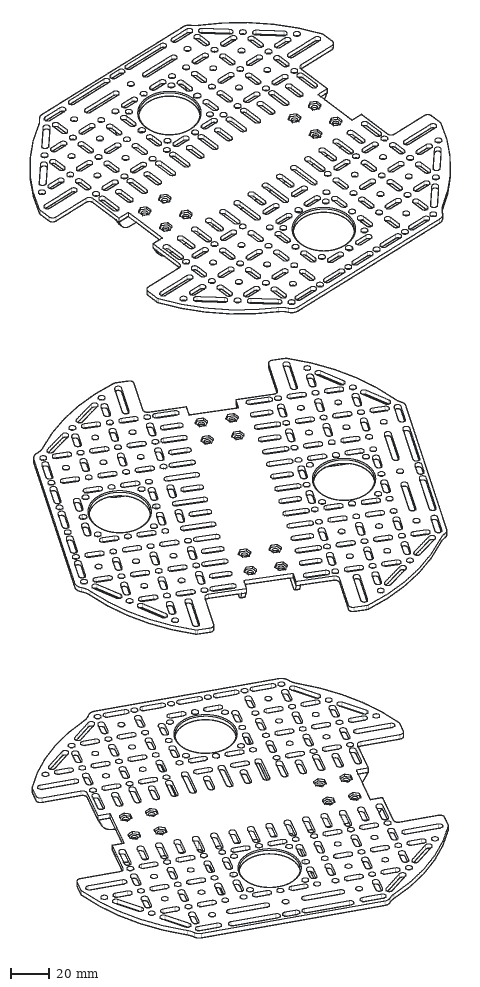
import cadquery as cq
import math

PLATE_THICKNESS = 3.0
RIB_HEIGHT = 8.0
PITCH = 10.0
COLUMN_OFFSET = PITCH / 2
LEFT_REACH = 99.0
RIGHT_REACH = 100.0

HALF_LENGTH = 100.0
RIM_RADIUS = 110.0
EAR_X = 9.5 * PITCH
EAR_Y = 5 * PITCH
EAR_BLEND_RADIUS = 10.0
WING_INNER_X = 36.0
SHELF_Y = 73.5
NOTCH_X = 13.2
NOTCH_Y = 67.0
WING_FILLET = PITCH / 4

HOLE_DIAMETER = 3.5
SLOT_WIDTH = 3.5
GRID_SLOT = 10.2
DIAGONAL_SLOT = 18.0
DIAGONAL_ANGLE = 45
WING_SLOT = 22.2
WING_SLOT_Y = 86.0
INNER_SLOT_START = 18.0
INNER_SLOT_SHORT_END = 30.0
INNER_SLOT_LONG_END = 32.0

SIDE_COLUMN = EAR_X
RIGHT_SIDE_SLOT = 13.8
LEFT_SIDE_X = -95.5
LEFT_CORNER_SLOT = 14.0
LEFT_CORNER_SLOT_X = -94.5
LEFT_CORNER_SLOT_Y = 44.8
LEFT_LONG_SLOT = 28.0
LEFT_CENTRE_SLOT = 9.2
LEFT_INNER_SLOT = 23.2
LEFT_INNER_SLOT_Y = 20.5

OPENING_DIAMETER = 32.0
OPENING_CHAMFER = 0.5
LEFT_OPENING_X = -5.5 * PITCH
RIGHT_OPENING_X = 6.5 * PITCH
OPENING_SCREW_OFFSET = 1.5 * PITCH
OVAL_LENGTH = 4.0
OVAL_OFFSET = 19.5

SCREW_X = 8.2
SCREW_ROWS = (45.8, 60.0)
SCREW_DIAMETER = 3.5
NUT_ACROSS_CORNERS = 6.8
NUT_DEPTH = PLATE_THICKNESS / 2

RIB_WIDTH = 2.5
LONG_RIB_X = 14.5
LONG_RIB_HALF = SHELF_Y
CROSS_RIB_Y = 24.8
CROSS_RIB_HALF = 70.0
RIB_END_INSET = 4.0
RIB_END_RADIUS = 7.0
RIB_CROSSING_FILLET = 1.2

HOLE_ROWS = (3 * PITCH, 5 * PITCH, 7 * PITCH)
SLOT_ROWS = (4 * PITCH, 6 * PITCH)
OPENING_ROWS = (0, 2 * PITCH)
WING_HOLE_Y = 9 * PITCH
WING_SHORT_SLOT_Y = 8 * PITCH

BOTH = (-1, 1)

COLUMN_3, COLUMN_4, COLUMN_5, COLUMN_6, COLUMN_7, COLUMN_8 = (
    number * PITCH + COLUMN_OFFSET for number in range(3, 9)
)


def grid(columns, rows):
    """Every crossing of the given columns and rows."""
    return [(x, y) for x in columns for y in rows]


def mirrored(points):
    """The points and their reflections on the other side of the X axis."""
    reflections = [(x, -y) for x, y in points if y]
    return points + reflections


def holes(points, diameter=HOLE_DIAMETER):
    centres = cq.Workplane("XY").pushPoints(mirrored(points))
    return centres.circle(diameter / 2).extrude(PLATE_THICKNESS)


def slots(points, length, angle):
    centres = cq.Workplane("XY").pushPoints(mirrored(points))
    return centres.slot2D(length, SLOT_WIDTH, angle).extrude(PLATE_THICKNESS)


def slots_along_x(points, length):
    return slots(points, length, 0)


def slots_along_y(points, length):
    return slots(points, length, 90)


def on_circle(centre, radius, angle):
    return centre[0] + radius * math.cos(angle), centre[1] + radius * math.sin(angle)


def quadrant(x_sign, side_x, y_sign):
    """One quarter of the plate, from its centre out to the straight side."""
    rim_centre = (0, 0)
    ear_centre = (EAR_X, EAR_Y)
    ear_radius = side_x - EAR_X

    ear_distance = math.hypot(*ear_centre)
    to_rim = RIM_RADIUS + EAR_BLEND_RADIUS
    to_ear = ear_radius + EAR_BLEND_RADIUS
    spread = math.acos((ear_distance**2 + to_rim**2 - to_ear**2) / (2 * ear_distance * to_rim))
    rim_end_angle = math.atan2(ear_centre[1], ear_centre[0]) + spread
    blend_centre = on_circle(rim_centre, to_rim, rim_end_angle)
    ear_angle = math.atan2(blend_centre[1] - ear_centre[1], blend_centre[0] - ear_centre[0])
    blend_middle_angle = (rim_end_angle + ear_angle) / 2 + math.pi
    rim_start_angle = math.asin(HALF_LENGTH / RIM_RADIUS)

    def at(x, y):
        return x_sign * x, y_sign * y

    def on_arc(centre, radius, angle):
        return at(*on_circle(centre, radius, angle))

    outline = (
        cq.Workplane("XY")
        .lineTo(*at(0, NOTCH_Y))
        .lineTo(*at(NOTCH_X, NOTCH_Y))
        .lineTo(*at(NOTCH_X, SHELF_Y))
        .lineTo(*at(WING_INNER_X, SHELF_Y))
        .lineTo(*at(WING_INNER_X, HALF_LENGTH))
        .lineTo(*on_arc(rim_centre, RIM_RADIUS, rim_start_angle))
        .threePointArc(
            on_arc(rim_centre, RIM_RADIUS, (rim_start_angle + rim_end_angle) / 2),
            on_arc(rim_centre, RIM_RADIUS, rim_end_angle),
        )
        .threePointArc(
            on_arc(blend_centre, EAR_BLEND_RADIUS, blend_middle_angle),
            on_arc(ear_centre, ear_radius, ear_angle),
        )
        .threePointArc(on_arc(ear_centre, ear_radius, ear_angle / 2), at(side_x, EAR_Y))
        .lineTo(*at(side_x, 0))
        .close()
        .extrude(PLATE_THICKNESS)
    )
    wing_corners = (
        (WING_INNER_X, SHELF_Y),
        (WING_INNER_X, HALF_LENGTH),
        on_circle(rim_centre, RIM_RADIUS, rim_start_angle),
    )
    for corner in wing_corners:
        nearest = cq.selectors.NearestToPointSelector((*at(*corner), PLATE_THICKNESS / 2))
        outline = outline.edges("|Z").edges(nearest).fillet(WING_FILLET)
    return outline


def make_plate():
    plate = quadrant(1, RIGHT_REACH, 1)
    plate = plate.union(quadrant(1, RIGHT_REACH, -1))
    plate = plate.union(quadrant(-1, LEFT_REACH, 1))
    return plate.union(quadrant(-1, LEFT_REACH, -1))


def shared_grid(side):
    """Holes and slots found in both halves; side is -1 for left, 1 for right."""
    outer, middle, inner = side * COLUMN_7, side * COLUMN_5, side * COLUMN_3
    between = (side * COLUMN_4, side * COLUMN_6)
    edge = side * COLUMN_8
    return [
        holes(grid((inner, middle, outer), HOLE_ROWS)),
        holes(grid(between, SLOT_ROWS) + [(edge, SLOT_ROWS[0]), (middle, WING_HOLE_Y)]),
        slots_along_x(grid(between, HOLE_ROWS) + [(edge, HOLE_ROWS[1])], GRID_SLOT),
        slots_along_y(grid((inner, middle, outer), SLOT_ROWS) + [(middle, WING_SHORT_SLOT_Y)], GRID_SLOT),
        slots_along_y([(side * COLUMN_4, WING_SLOT_Y)], WING_SLOT),
    ]


def diagonal_slots(side):
    """Slanted slots that follow the rim."""
    centres = ((COLUMN_6, 8 * PITCH), (COLUMN_8, 6 * PITCH))
    return [
        cq.Workplane("XY")
        .pushPoints([(side * x, end * y) for x, y in centres])
        .slot2D(DIAGONAL_SLOT, SLOT_WIDTH, -DIAGONAL_ANGLE * side * end)
        .extrude(PLATE_THICKNESS)
        for end in BOTH
    ]


def inner_slots(side, rows, outer_end):
    """Slots lying along X beside the plain centre band."""
    centre = side * (INNER_SLOT_START + outer_end) / 2
    return slots_along_x([(centre, y) for y in rows], outer_end - INNER_SLOT_START)


def opening(x):
    """Large round opening, chamfered on top, with four screw holes."""
    offset = OPENING_SCREW_OFFSET
    bore_radius = OPENING_DIAMETER / 2
    bore = (
        cq.Workplane("XZ", origin=(x, 0, 0))
        .lineTo(bore_radius, 0)
        .lineTo(bore_radius, PLATE_THICKNESS - OPENING_CHAMFER)
        .lineTo(bore_radius + OPENING_CHAMFER, PLATE_THICKNESS)
        .lineTo(0, PLATE_THICKNESS)
        .close()
        .revolve(360, (0, 0), (0, 1))
    )
    return [
        bore,
        holes([(x - offset, offset), (x + offset, offset)]),
    ]


def left_features():
    x = LEFT_OPENING_X
    return [
        inner_slots(-1, HOLE_ROWS + OPENING_ROWS, INNER_SLOT_LONG_END),
        inner_slots(-1, SLOT_ROWS + (PITCH,), INNER_SLOT_SHORT_END),
        holes(grid((-COLUMN_3, -COLUMN_7), OPENING_ROWS) + [(-COLUMN_8, 0)]),
        slots_along_y([(x, OVAL_OFFSET)], OVAL_LENGTH),
        slots_along_x(grid((-COLUMN_4, -COLUMN_6), (2 * PITCH,)), GRID_SLOT),
        slots_along_y(grid((-COLUMN_3, -COLUMN_7), (PITCH,)), GRID_SLOT),
        slots_along_y([(-COLUMN_8, LEFT_INNER_SLOT_Y)], LEFT_INNER_SLOT),
        slots_along_y([(LEFT_CORNER_SLOT_X, LEFT_CORNER_SLOT_Y)], LEFT_CORNER_SLOT),
        slots_along_y([(LEFT_SIDE_X, 2 * PITCH)], LEFT_LONG_SLOT),
        slots_along_y([(LEFT_SIDE_X, 0)], LEFT_CENTRE_SLOT),
    ]


def right_features():
    x = RIGHT_OPENING_X
    return [
        inner_slots(1, HOLE_ROWS, INNER_SLOT_LONG_END),
        inner_slots(1, SLOT_ROWS + (PITCH,), INNER_SLOT_SHORT_END),
        inner_slots(1, OPENING_ROWS, COLUMN_3 + SLOT_WIDTH / 2),
        holes(grid((COLUMN_4, COLUMN_6), (2 * PITCH,))),
        slots_along_x([(x - OVAL_OFFSET, 0), (x + OVAL_OFFSET, 0)], OVAL_LENGTH),
        slots_along_x(grid((x - PITCH, x + PITCH), (2 * PITCH,)), GRID_SLOT),
        slots_along_x([(COLUMN_8, HOLE_ROWS[0])], GRID_SLOT),
        slots_along_y(grid((COLUMN_3, COLUMN_4, COLUMN_8), (PITCH,)), GRID_SLOT),
        holes(grid((SIDE_COLUMN,), (PITCH, 3 * PITCH, 5 * PITCH))),
        slots_along_y(grid((SIDE_COLUMN,), (0, 2 * PITCH, 4 * PITCH)), RIGHT_SIDE_SLOT),
    ]


def screw_holes():
    """Screw holes with hexagonal nut pockets sunk into the top face."""
    places = grid((-SCREW_X, SCREW_X), SCREW_ROWS)
    pockets = (
        cq.Workplane("XY", origin=(0, 0, PLATE_THICKNESS - NUT_DEPTH))
        .pushPoints(mirrored(places))
        .polygon(6, NUT_ACROSS_CORNERS)
        .extrude(NUT_DEPTH)
    )
    return [holes(places, SCREW_DIAMETER), pockets]


def rib(plane, half_length):
    """Rib hanging under the plate, centred, with sloped and rounded ends."""
    return (
        cq.Workplane(plane)
        .moveTo(-half_length, 0)
        .lineTo(half_length, 0)
        .lineTo(half_length - RIB_END_INSET, -RIB_HEIGHT)
        .lineTo(RIB_END_INSET - half_length, -RIB_HEIGHT)
        .close()
        .extrude(RIB_WIDTH / 2, both=True)
        .faces("<Z")
        .edges("|Y" if plane == "XZ" else "|X")
        .fillet(RIB_END_RADIUS)
    )


def make_ribs():
    long_rib = rib("YZ", LONG_RIB_HALF)
    cross_rib = rib("XZ", CROSS_RIB_HALF)
    ribs = long_rib.translate((LONG_RIB_X, 0, 0))
    ribs = ribs.union(long_rib.translate((-LONG_RIB_X, 0, 0)))
    for side in BOTH:
        ribs = ribs.union(cross_rib.translate((0, side * CROSS_RIB_Y, 0)))
    return ribs.edges("|Z").fillet(RIB_CROSSING_FILLET)


cutters = left_features() + right_features() + screw_holes()
cutters += opening(LEFT_OPENING_X) + opening(RIGHT_OPENING_X)
for half in BOTH:
    cutters += shared_grid(half) + diagonal_slots(half)

tools = [cutter.val() for cutter in cutters]
plate = cq.Workplane(obj=make_plate().val().cut(*tools))
result = plate.union(make_ribs())